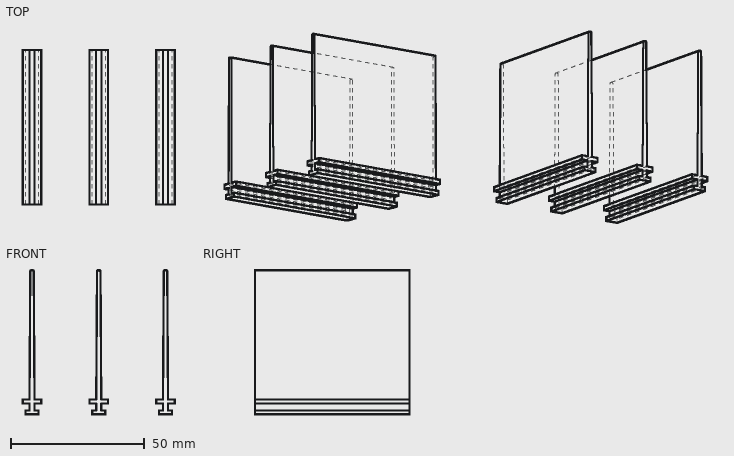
import cadquery as cq

divider_count = 3
divider_pitch = 25.0
divider_length = 58.0
divider_height = 54.0

foot_width = 5.0
foot_thickness = 1.5
flange_width = 7.0
flange_bottom = 4.0
flange_thickness = 1.6
neck_width = 2.0
blade_tip_width = 1.4

flange_top = flange_bottom + flange_thickness
tip_radius = blade_tip_width / 2
tip_round_start = divider_height - tip_radius


def make_divider(center_x):
    """Extruded divider: T-shaped foot, cross flange and tapered blade with a rounded tip."""
    right_side = [
        (foot_width / 2, 0),
        (foot_width / 2, foot_thickness),
        (neck_width / 2, foot_thickness),
        (neck_width / 2, flange_bottom),
        (flange_width / 2, flange_bottom),
        (flange_width / 2, flange_top),
        (neck_width / 2, flange_top),
        (tip_radius, tip_round_start),
    ]
    left_side = [(-x, z) for x, z in reversed(right_side)]
    profile = (
        cq.Workplane("XZ")
        .polyline(right_side)
        .threePointArc((0, divider_height), left_side[0])
    )
    for x, z in left_side[1:]:
        profile = profile.lineTo(x, z)
    divider = profile.close().extrude(divider_length / 2, both=True)
    return divider.translate((center_x, 0, 0))


first_center_x = -divider_pitch * (divider_count - 1) / 2
dividers = [
    make_divider(first_center_x + index * divider_pitch)
    for index in range(divider_count)
]

result = cq.Compound.makeCompound([divider.val() for divider in dividers])